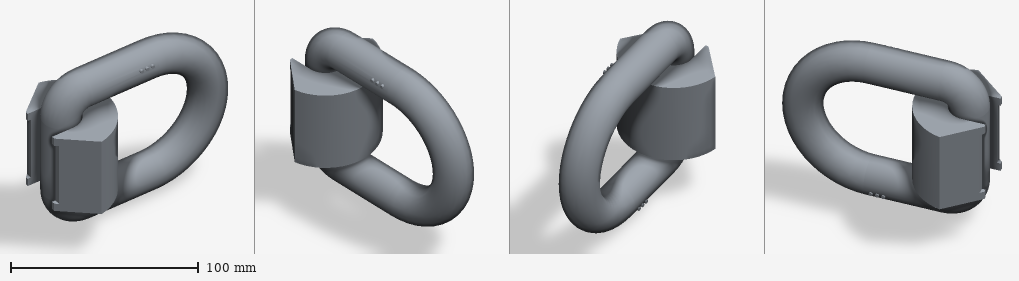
import cadquery as cq
import math


overall_length = 119.0
rod_diameter = 22.0
ring_height = 99.0
leg_length = 50.0
rod_radius = rod_diameter / 2
bow_radius = (ring_height - rod_diameter) / 2
corner_radius = bow_radius - leg_length / 2

foot_depth = 13.5
block_height = leg_length
block_radius = 30.5
block_half_width = 29.9
foot_half_width = 13.5
channel_half_width = 11.5
foot_height = 5.0
foot_relief = 2.0

bow_center_y = overall_length - foot_depth - rod_radius - bow_radius

dot_diameter = 2.1
dot_count = 3
dot_pitch = 3.6
dot_bow_gap = 4.0
dot_top_x = 11.3
dot_leg_offset = 3.9


def make_ring_rod():
    """Round rod swept along a D-shaped centre line."""
    half_leg = leg_length / 2
    corner_middle = corner_radius * (1 - math.sqrt(0.5))
    corner_middle_z = half_leg + corner_radius * math.sqrt(0.5)
    center_line = (
        cq.Workplane("YZ")
        .moveTo(0, -half_leg)
        .lineTo(0, half_leg)
        .threePointArc((corner_middle, corner_middle_z), (corner_radius, bow_radius))
        .lineTo(bow_center_y, bow_radius)
        .threePointArc((bow_center_y + bow_radius, 0), (bow_center_y, -bow_radius))
        .lineTo(corner_radius, -bow_radius)
        .threePointArc((corner_middle, -corner_middle_z), (0, -half_leg))
        .close()
    )
    section = cq.Workplane("XY", origin=(0, 0, -half_leg)).circle(rod_radius)
    return section.sweep(center_line)


def make_dots():
    """Row of dots on the +X side of the upper long leg."""
    first_y = bow_center_y - dot_bow_gap
    dot_z = bow_radius + dot_leg_offset
    centers = [(first_y - i * dot_pitch, dot_z) for i in range(dot_count)]
    return cq.Workplane("YZ").pushPoints(centers).circle(dot_diameter / 2).extrude(dot_top_x)


def make_ring():
    """Ring with a row of dots on each long leg, half a turn apart about Y."""
    upper_dots = make_dots()
    lower_dots = upper_dots.rotate((0, 0, 0), (0, 1, 0), 180)
    return make_ring_rod().union(upper_dots).union(lower_dots)


def make_block():
    """Weld-on block with a U-shaped channel for the leg and a foot at each corner."""
    shoulder_y = math.sqrt(block_radius**2 - block_half_width**2)
    block = (
        cq.Workplane("XY", origin=(0, 0, -block_height / 2))
        .moveTo(-foot_half_width, -foot_depth)
        .lineTo(-channel_half_width, -foot_depth)
        .lineTo(-channel_half_width, 0)
        .threePointArc((0, channel_half_width), (channel_half_width, 0))
        .lineTo(channel_half_width, -foot_depth)
        .lineTo(foot_half_width, -foot_depth)
        .lineTo(block_half_width, shoulder_y)
        .threePointArc((0, block_radius), (-block_half_width, shoulder_y))
        .close()
        .extrude(block_height)
    )
    relief = cq.Workplane("XY", origin=(0, -foot_depth, 0)).box(
        2 * block_half_width,
        2 * foot_relief,
        block_height - 2 * foot_height,
    )
    return block.cut(relief)


ring = make_ring()
block = make_block()

result = cq.Compound.makeCompound([ring.val(), block.val()])